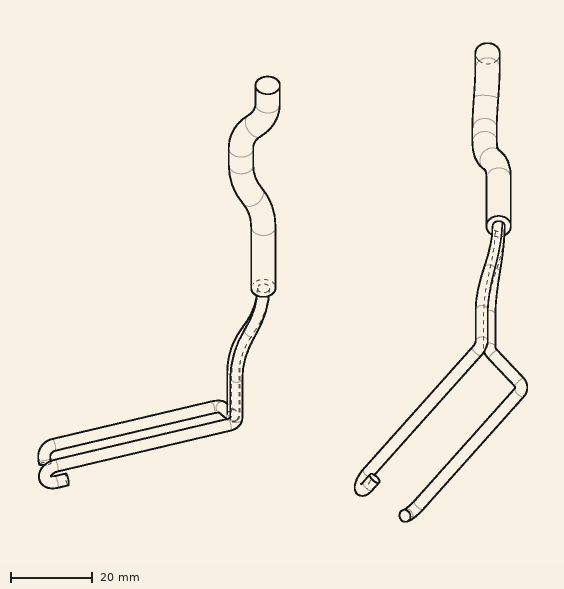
import cadquery as cq
import math

TOTAL_HEIGHT = 130.8
SLEEVE_DIAMETER = 6.0
WIRE_DIAMETER = 3.0
WIRE_RADIUS = WIRE_DIAMETER / 2

SLEEVE_BOTTOM_Z = 56.1
SLEEVE_TOP_SHIFT_X = 3.4
SLEEVE_MIDDLE_SHIFT_Y = -5.8
UPPER_BEND_TOP_Z = 124.2
UPPER_BEND_BOTTOM_Z = 107.2
LOWER_BEND_TOP_Z = 101.3
LOWER_BEND_BOTTOM_Z = 77.8

WIRE_BEND_BOTTOM_Z = 26.8
SHANK_Y = -6.9
ELBOW_Z = 10.9
WIRE_BEND_RADIUS = 1.8
HOOK_RADIUS = 2.9

UPRIGHT_HOOK_FRONT_Y = -57.7
UPRIGHT_ARM_FRONT_Y = UPRIGHT_HOOK_FRONT_Y + WIRE_RADIUS
U_HOOK_TIP_Y = -50.5

SIDE_SHANK_X = -2.4
SIDE_ARM_X = -13.0
BRANCH_SLOPE = math.radians(32.0)
SIDE_ARM_FRONT_Y = -52.6
ELBOW_SETBACK = 1.2

SMALLEST_LENGTH = 1.31e-06


def rounded_path(start, corners, end):
    """Wire through corner points; each corner is (point, setback) and becomes a tangent arc."""
    points = [cq.Vector(*start)] + [cq.Vector(*point) for point, _ in corners] + [cq.Vector(*end)]
    edges = []
    current = points[0]
    for index, (_, setback) in enumerate(corners, start=1):
        corner = points[index]
        direction_in = (corner - points[index - 1]).normalized()
        direction_out = (points[index + 1] - corner).normalized()
        arc_start = corner - direction_in * setback
        arc_end = corner + direction_out * setback
        if (arc_start - current).Length > SMALLEST_LENGTH:
            edges.append(cq.Edge.makeLine(current, arc_start))
        edges.append(cq.Edge.makeTangentArc(arc_start, direction_in, arc_end))
        current = arc_end
    if (points[-1] - current).Length > SMALLEST_LENGTH:
        edges.append(cq.Edge.makeLine(current, points[-1]))
    return cq.Wire.assembleEdges(edges)


def s_bend(upper, lower):
    """Corners of a vertical-ended S-bend made of two equal tangent arcs."""
    height = upper[2] - lower[2]
    offset = math.hypot(upper[0] - lower[0], upper[1] - lower[1])
    setback = (height**2 + offset**2) / (4 * height)
    return [
        ((upper[0], upper[1], upper[2] - setback), setback),
        ((lower[0], lower[1], lower[2] + setback), setback),
    ]


def round_bar(start, corners, end, diameter):
    """Solid round bar that starts vertically and follows a rounded path."""
    path = cq.Workplane(obj=rounded_path(start, corners, end))
    return cq.Workplane("XY", origin=start).circle(diameter / 2).sweep(path)


def make_sleeve():
    top = (SLEEVE_TOP_SHIFT_X, 0, TOTAL_HEIGHT)
    corners = s_bend(
        (SLEEVE_TOP_SHIFT_X, 0, UPPER_BEND_TOP_Z),
        (0, SLEEVE_MIDDLE_SHIFT_Y, UPPER_BEND_BOTTOM_Z),
    ) + s_bend(
        (0, SLEEVE_MIDDLE_SHIFT_Y, LOWER_BEND_TOP_Z),
        (0, 0, LOWER_BEND_BOTTOM_Z),
    )
    return round_bar(top, corners, (0, 0, SLEEVE_BOTTOM_Z), SLEEVE_DIAMETER)


WIRE_START = (0, 0, SLEEVE_BOTTOM_Z)


def make_upright_wire():
    hook_bottom_z = ELBOW_Z - 2 * HOOK_RADIUS
    corners = s_bend(WIRE_START, (0, SHANK_Y, WIRE_BEND_BOTTOM_Z)) + [
        ((0, SHANK_Y, ELBOW_Z), WIRE_BEND_RADIUS),
        ((0, UPRIGHT_ARM_FRONT_Y, ELBOW_Z), HOOK_RADIUS),
        ((0, UPRIGHT_ARM_FRONT_Y, hook_bottom_z), HOOK_RADIUS),
    ]
    return round_bar(WIRE_START, corners, (0, U_HOOK_TIP_Y, hook_bottom_z), WIRE_DIAMETER)


def make_side_wire(upright_wire):
    """The two wires merge toward the sleeve, so the side wire is hollowed to fit the upright one."""
    arm_z = ELBOW_Z - (SIDE_SHANK_X - SIDE_ARM_X) * math.tan(BRANCH_SLOPE)
    hook_length = (arm_z - WIRE_RADIUS * math.sin(BRANCH_SLOPE)) / math.cos(BRANCH_SLOPE)
    tip = (SIDE_ARM_X + hook_length * math.sin(BRANCH_SLOPE), SIDE_ARM_FRONT_Y,
           arm_z - hook_length * math.cos(BRANCH_SLOPE))
    corners = s_bend(WIRE_START, (SIDE_SHANK_X, SHANK_Y, WIRE_BEND_BOTTOM_Z)) + [
        ((SIDE_SHANK_X, SHANK_Y, ELBOW_Z), ELBOW_SETBACK),
        ((SIDE_ARM_X, SHANK_Y, arm_z), WIRE_BEND_RADIUS),
        ((SIDE_ARM_X, SIDE_ARM_FRONT_Y, arm_z), HOOK_RADIUS),
    ]
    return round_bar(WIRE_START, corners, tip, WIRE_DIAMETER).cut(upright_wire)


sleeve = make_sleeve()
upright_wire = make_upright_wire()
side_wire = make_side_wire(upright_wire)

result = cq.Compound.makeCompound([sleeve.val(), upright_wire.val(), *side_wire.vals()])